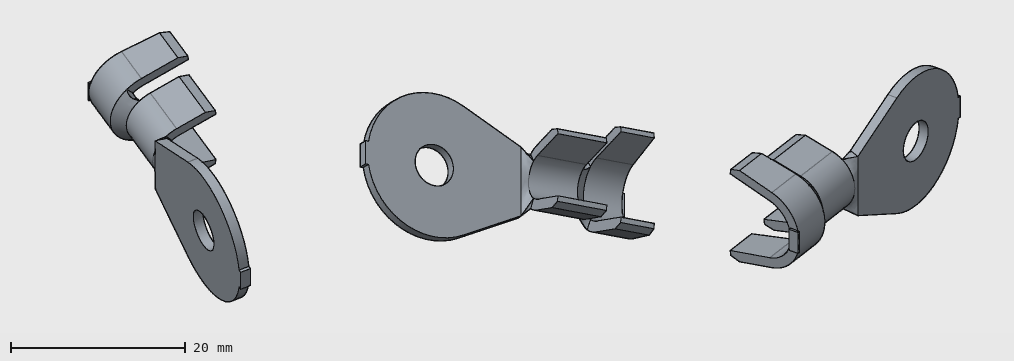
import cadquery as cq
import math

sheet = 1.28
length = 34.6
carrier_tab_width = 2.85

ring_radius = 8.72
hole_radius = 2.5
hole_x = 25.6
tongue_start_x = 13.9
tongue_start_half_width = 4.0
tongue_start_lean = 0.35

tongue_run = hole_x - tongue_start_x
tongue_taper = (
    math.asin(ring_radius / math.hypot(tongue_run, tongue_start_half_width))
    - math.atan2(tongue_start_half_width, tongue_run)
)

arm_flare = math.radians(13)
tip_bevel = 1.4
tip_face_lean = math.radians(8)

wire_start_x = 6.9
wire_end_x = 13.3
wire_radius = 4.0
wire_bottom_y = 0.0
wire_tip_y = 8.25

grip_end_x = 5.4
grip_radius = 5.23
grip_bottom_y = -sheet
grip_tip_y = 8.9
mouth_bottom_x = 0.25
mouth_top_x = 1.05

neck_start_angles = (math.radians(54), math.radians(55))
neck_waist_angles = (math.radians(50), math.radians(53))
neck_end_angles = (math.radians(56), math.radians(62))
transition_angles = (math.radians(56), math.radians(56))


def barrel(start_x, end_x, bottom_y, radius, tip_y):
    """U-shaped barrel extruded along X, its round bottom tangent to both arms."""
    center_y = bottom_y + radius
    inner_radius = radius - sheet

    def tangent_point(r):
        return (center_y - r * math.sin(arm_flare), r * math.cos(arm_flare))

    def arm_point(r, y):
        """Point at height y on the arm face that is tangent to radius r."""
        tangent_y, tangent_z = tangent_point(r)
        return (y, tangent_z + (y - tangent_y) * math.tan(arm_flare))

    def mirrored(point):
        return (point[0], -point[1])

    outer_tangent = tangent_point(radius)
    inner_tangent = tangent_point(inner_radius)
    outer_corner = arm_point(radius, tip_y - tip_bevel)
    inner_tip = arm_point(inner_radius, tip_y)
    face_height = sheet / 2
    outer_tip = (tip_y - face_height * math.tan(tip_face_lean), inner_tip[1] + face_height)

    return (
        cq.Workplane("YZ", origin=(start_x, 0, 0))
        .moveTo(*mirrored(outer_tangent))
        .threePointArc((bottom_y, 0), outer_tangent)
        .lineTo(*outer_corner)
        .lineTo(*outer_tip)
        .lineTo(*inner_tip)
        .lineTo(*inner_tangent)
        .threePointArc((bottom_y + sheet, 0), mirrored(inner_tangent))
        .lineTo(*mirrored(inner_tip))
        .lineTo(*mirrored(outer_tip))
        .lineTo(*mirrored(outer_corner))
        .close()
        .extrude(end_x - start_x)
    )


def strip_section(x, bottom_y, radius, half_angles):
    """Closed wire of a curved sheet strip lying across X."""
    center_y = bottom_y + radius
    inner_radius = radius - sheet
    outer_angle, inner_angle = half_angles

    def edge_point(r, angle):
        return (center_y - r * math.cos(angle), r * math.sin(angle))

    return (
        cq.Workplane("YZ", origin=(x, 0, 0))
        .moveTo(*edge_point(radius, -outer_angle))
        .threePointArc((bottom_y, 0), edge_point(radius, outer_angle))
        .lineTo(*edge_point(inner_radius, inner_angle))
        .threePointArc((bottom_y + sheet, 0), edge_point(inner_radius, -inner_angle))
        .close()
        .val()
    )


def insulation_barrel():
    """Wide barrel whose open mouth is trimmed along a leaning plane."""
    blank = barrel(0, grip_end_x, grip_bottom_y, grip_radius, grip_tip_y)
    waste = (
        cq.Workplane("XY")
        .polyline([
            (0, grip_bottom_y),
            (mouth_bottom_x, grip_bottom_y),
            (mouth_top_x, grip_tip_y),
            (0, grip_tip_y),
        ])
        .close()
        .extrude(2 * grip_radius, both=True)
    )
    return blank.cut(waste)


def neck():
    """Waisted strip that rises from the insulation barrel to the wire barrel."""
    sections = [
        strip_section(grip_end_x, grip_bottom_y, grip_radius, neck_start_angles),
        strip_section(
            (grip_end_x + wire_start_x) / 2,
            (grip_bottom_y + wire_bottom_y) / 2,
            (grip_radius + wire_radius) / 2,
            neck_waist_angles,
        ),
        strip_section(wire_start_x, wire_bottom_y, wire_radius, neck_end_angles),
    ]
    return cq.Workplane(cq.Solid.makeLoft(sections))


def flattening_transition():
    """Strip that opens from the round wire barrel into the flat tongue."""
    back_x = tongue_start_x + tongue_start_lean
    back_half_width = tongue_start_half_width + tongue_start_lean * math.tan(tongue_taper)
    flat_section = cq.Wire.makePolygon(
        [
            cq.Vector(tongue_start_x, 0, -tongue_start_half_width),
            cq.Vector(tongue_start_x, 0, tongue_start_half_width),
            cq.Vector(back_x, sheet, back_half_width),
            cq.Vector(back_x, sheet, -back_half_width),
        ],
        close=True,
    )
    round_section = strip_section(wire_end_x, wire_bottom_y, wire_radius, transition_angles)
    return cq.Workplane(cq.Solid.makeLoft([round_section, flat_section], True))


def grip_tab():
    """Cut-off stub ahead of the insulation barrel, ending flush on its leaning mouth."""
    mouth_slope = (mouth_top_x - mouth_bottom_x) / (grip_tip_y - grip_bottom_y)
    return (
        cq.Workplane("XY")
        .polyline([
            (0, grip_bottom_y),
            (mouth_bottom_x, grip_bottom_y),
            (mouth_bottom_x + sheet * mouth_slope, grip_bottom_y + sheet),
            (0, grip_bottom_y + sheet),
        ])
        .close()
        .extrude(carrier_tab_width / 2, both=True)
    )


def ring_tongue():
    """Flat ring with tangent sides tapering towards the barrels and an end tab."""
    tangent_x = hole_x - ring_radius * math.sin(tongue_taper)
    tangent_z = ring_radius * math.cos(tongue_taper)
    plate = (
        cq.Workplane("XZ")
        .moveTo(tongue_start_x, -tongue_start_half_width)
        .lineTo(tangent_x, -tangent_z)
        .threePointArc((hole_x + ring_radius, 0), (tangent_x, tangent_z))
        .lineTo(tongue_start_x, tongue_start_half_width)
        .close()
        .extrude(-sheet)
    )
    tab = (
        cq.Workplane("XZ")
        .moveTo((hole_x + length) / 2, 0)
        .rect(length - hole_x, carrier_tab_width)
        .extrude(-sheet)
    )
    leaning_start = (
        cq.Workplane("XY")
        .polyline([
            (tongue_start_x, 0),
            (tongue_start_x + tongue_start_lean, sheet),
            (tongue_start_x, sheet),
        ])
        .close()
        .extrude(ring_radius, both=True)
    )
    hole = cq.Workplane("XZ").center(hole_x, 0).circle(hole_radius).extrude(-sheet)
    return plate.union(tab).cut(leaning_start).cut(hole)


result = (
    insulation_barrel()
    .union(grip_tab())
    .union(neck())
    .union(barrel(wire_start_x, wire_end_x, wire_bottom_y, wire_radius, wire_tip_y))
    .union(flattening_transition())
    .union(ring_tongue())
)